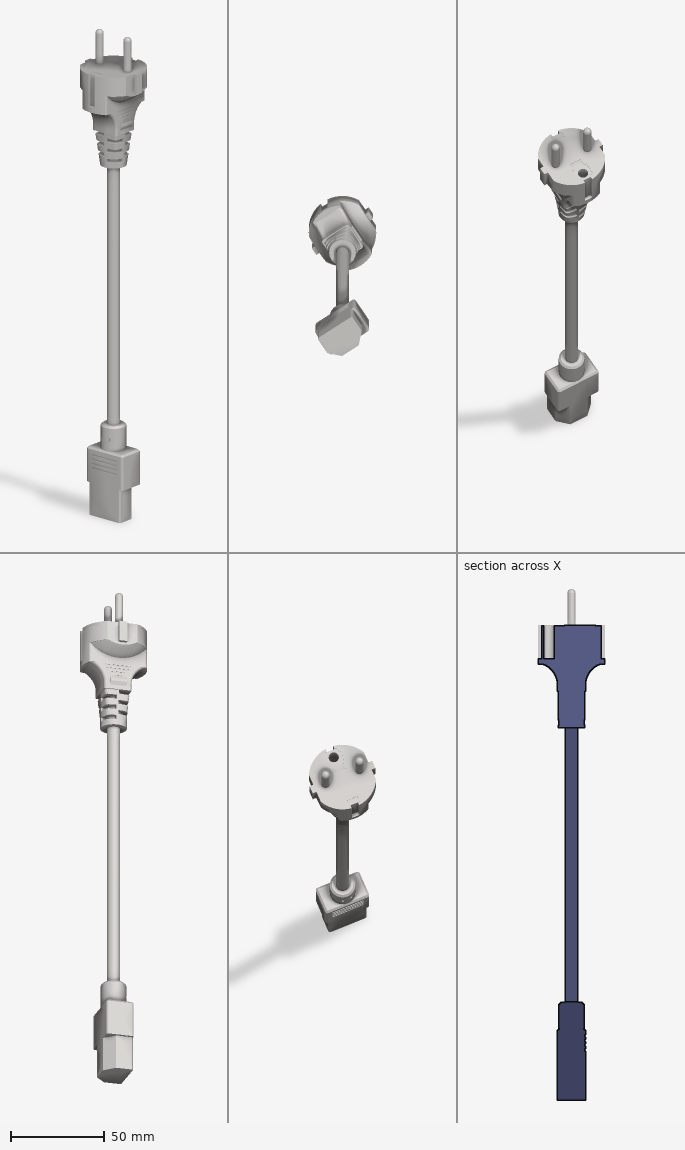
import cadquery as cq
import math

TOTAL_HEIGHT = 273.8
PIN_LENGTH = 19.2
FACE_Z = TOTAL_HEIGHT - PIN_LENGTH
HEAD_BOTTOM_Z = 244.0
EAR_BOTTOM_Z = 243.5
SHOULDER_Z = 233.3
SWEEP_BOTTOM_Z = 222.5
GRIP_BOTTOM_Z = 219.0
RELIEF_BOTTOM_Z = 199.3
SLEEVE_TOP_Z = 52.5
SHELL_TOP_Z = 38.5
NOSE_TOP_Z = 18.5

HEAD_RADIUS = 18.0
HEAD_WIDTH = 32.0
EAR_SPAN = 36.5
EAR_WIDTH = 4.5
DOME_RADIUS = 17.8
DOME_DEPTH = 8.5

PIN_SPACING = 19.7
PIN_RADIUS = 2.2

RIM_SLOT_BOTTOM_Z = 236.5
RIM_SLOT_WIDTH = 4.5
RIM_SLOT_DEPTH = 2.0
RECESS_DEPTH = 0.3
RECESS_WIDTH = 6.5
FRONT_RECESS_LENGTH = 3.3
REAR_RECESS_LENGTH = 12.3
WING_WIDTH = 9.0
WING_LENGTH = 6.8
WING_Y = 11.2
EARTH_BORE_RADIUS = 2.7
EARTH_BORE_Y = 12.0

GRIP_WIDTH = 17.2
GRIP_NECK_DEPTH = 15.3
GRIP_SWEEP = 11.5
GRIP_FILLET = 1.5
PAD_WIDTH = 9.3
PAD_TOP_Z = 225.0
PAD_EDGE_Z = 223.5
PAD_BOTTOM_Z = 221.5
PAD_PROUD = 0.8
GRIP_GROOVE_WIDTHS = (14.2, 13.1, 7.7, 4.5)
GRIP_GROOVE_TOP_Z = 232.5
GRIP_GROOVE_PITCH = 2.0
GRIP_GROOVE_HEIGHT = 0.8
GRIP_GROOVE_DEPTH = 0.3

RELIEF_TOP_WIDTH = 16.0
RELIEF_DEPTH = 14.2
RELIEF_TOP_CORNER = 1.6
RELIEF_CORE_RADIUS = 5.0
RELIEF_RIB = 1.0
RELIEF_SLOT_HEIGHT = 2.2
RELIEF_SLOT_PITCH = 5.7
RELIEF_SLOT_COUNT = 3
RELIEF_FIRST_SLOT_Z = 218.0
RELIEF_STAGGER = RELIEF_SLOT_PITCH / 2

CABLE_RADIUS = 3.5

SLEEVE_RADIUS = 6.8
SLEEVE_CHAMFER = 1.0
SHELL_WIDTH = 25.5
SHELL_DEPTH = 15.3
SHELL_FILLET = 1.5
SHELL_TOP_CHAMFER = 1.0
NOSE_WIDTH = 22.2
NOSE_FILLET = 1.0
NOSE_BEVEL = 5.7
GROOVE_COUNT = 4
GROOVE_LENGTH = 18.0
GROOVE_HEIGHT = 1.0
GROOVE_PITCH = 2.5
GROOVE_TOP_Z = 34.5
GROOVE_DEPTH = 0.5
WINDOW_SPACING = 5.0
WINDOW_WIDTH = 1.0
WINDOW_HEIGHT = 2.0
WINDOW_Z = 45.0
WINDOW_DEPTH = 1.0


def block(width, depth, bottom, top):
    """Box centred on the cord axis between two heights."""
    return (
        cq.Workplane("XY").workplane(offset=bottom)
        .rect(width, depth).extrude(top - bottom)
    )


def cylinder(radius, bottom, top):
    """Cylinder on the cord axis between two heights."""
    return cq.Workplane("XY").workplane(offset=bottom).circle(radius).extrude(top - bottom)


def make_head():
    disc = cylinder(HEAD_RADIUS, HEAD_BOTTOM_Z, FACE_Z)
    disc = disc.intersect(block(HEAD_WIDTH, 2 * HEAD_RADIUS, HEAD_BOTTOM_Z, FACE_Z))
    ears = block(EAR_SPAN, EAR_WIDTH, EAR_BOTTOM_Z, FACE_Z)
    return disc.union(ears).union(make_dome())


def make_dome():
    """Shallow spherical underside of the head, trimmed by the flats."""
    sphere_radius = (DOME_RADIUS**2 + DOME_DEPTH**2) / (2 * DOME_DEPTH)
    centre_z = HEAD_BOTTOM_Z - DOME_DEPTH + sphere_radius
    sphere = cq.Workplane("XY").sphere(sphere_radius).translate((0, 0, centre_z))
    dome_bottom = HEAD_BOTTOM_Z - DOME_DEPTH
    return sphere.intersect(block(HEAD_WIDTH, 2 * HEAD_RADIUS, dome_bottom, HEAD_BOTTOM_Z))


def make_shoulder():
    """Upper grip, a slab as deep as the round head."""
    shoulder = block(GRIP_WIDTH, 2 * HEAD_RADIUS, SHOULDER_Z, HEAD_BOTTOM_Z)
    shoulder = shoulder.intersect(cylinder(HEAD_RADIUS, SHOULDER_Z, HEAD_BOTTOM_Z))
    return shoulder.edges("|Z").fillet(GRIP_FILLET)


def make_neck():
    """Lower grip, hollowed on both Y sides from the shoulder down to the strain relief."""
    neck_y = GRIP_NECK_DEPTH / 2
    centre_y = neck_y + GRIP_SWEEP
    end_angle = math.asin((SHOULDER_Z - SWEEP_BOTTOM_Z) / GRIP_SWEEP)

    def sweep_point(angle):
        return (
            centre_y - GRIP_SWEEP * math.cos(angle),
            SWEEP_BOTTOM_Z + GRIP_SWEEP * math.sin(angle),
        )

    half_profile = (
        cq.Workplane("YZ")
        .moveTo(0, GRIP_BOTTOM_Z)
        .lineTo(neck_y, GRIP_BOTTOM_Z)
        .lineTo(neck_y, SWEEP_BOTTOM_Z)
        .threePointArc(sweep_point(end_angle / 2), sweep_point(end_angle))
        .lineTo(0, SHOULDER_Z)
    )
    neck = half_profile.mirrorY().extrude(GRIP_WIDTH / 2, both=True)
    return neck.edges("not(|X or |Y)").fillet(GRIP_FILLET)


def make_pads():
    """Raised thumb pads on the two X sides, sloping back at the bottom."""
    face_x = GRIP_WIDTH / 2
    pad_x = face_x + PAD_PROUD
    return (
        cq.Workplane("XZ")
        .polyline([
            (-face_x, PAD_BOTTOM_Z),
            (face_x, PAD_BOTTOM_Z),
            (pad_x, PAD_EDGE_Z),
            (pad_x, PAD_TOP_Z),
            (-pad_x, PAD_TOP_Z),
            (-pad_x, PAD_EDGE_Z),
        ])
        .close()
        .extrude(PAD_WIDTH / 2, both=True)
    )


def make_grip_grooves():
    """Finger grooves on the two X sides, getting shorter toward the pads."""
    grooves = cq.Workplane("XY")
    for index, width in enumerate(GRIP_GROOVE_WIDTHS):
        groove_z = GRIP_GROOVE_TOP_Z - index * GRIP_GROOVE_PITCH
        for side in (-1, 1):
            groove = cq.Workplane("XY").box(2 * GRIP_GROOVE_DEPTH, width, GRIP_GROOVE_HEIGHT)
            grooves = grooves.add(groove.translate((side * GRIP_WIDTH / 2, 0, groove_z)))
    return grooves.combine()


def relief_slot(x_side, y_side, z):
    """Slot in one quadrant of the strain relief, leaving its round core."""
    size = RELIEF_TOP_WIDTH
    offset = (size + RELIEF_RIB) / 2
    quadrant = block(size, size, z - RELIEF_SLOT_HEIGHT / 2, z + RELIEF_SLOT_HEIGHT / 2)
    quadrant = quadrant.translate((x_side * offset, y_side * offset, 0))
    return quadrant.cut(cylinder(RELIEF_CORE_RADIUS, RELIEF_BOTTOM_Z, GRIP_BOTTOM_Z))


def make_relief():
    """Strain relief narrowing to a circle, with slots staggered between quadrants."""
    height = GRIP_BOTTOM_Z - RELIEF_BOTTOM_Z
    top = cq.Sketch().rect(RELIEF_TOP_WIDTH, RELIEF_DEPTH).vertices().fillet(RELIEF_TOP_CORNER)
    bottom = cq.Sketch().circle(RELIEF_DEPTH / 2)
    relief = (
        cq.Workplane("XY").workplane(offset=RELIEF_BOTTOM_Z)
        .placeSketch(bottom, top.moved(cq.Location(cq.Vector(0, 0, height))))
        .loft()
    )
    for index in range(RELIEF_SLOT_COUNT):
        slot_z = RELIEF_FIRST_SLOT_Z - index * RELIEF_SLOT_PITCH
        for side in (-1, 1):
            relief = relief.cut(relief_slot(side, side, slot_z))
            relief = relief.cut(relief_slot(side, -side, slot_z - RELIEF_STAGGER))
    return relief


def rim_slot(side):
    """Slot in the rim at the +Y or -Y end of the head."""
    slot = block(RIM_SLOT_WIDTH, 2 * RIM_SLOT_DEPTH, RIM_SLOT_BOTTOM_Z, FACE_Z)
    return slot.translate((0, side * HEAD_RADIUS, 0))


def face_recess(side, length):
    """Shallow recess in the contact face, running inward from a rim slot."""
    centre_y = side * (HEAD_RADIUS - RIM_SLOT_DEPTH - length / 2)
    return block(RECESS_WIDTH, length, FACE_Z - RECESS_DEPTH, FACE_Z).translate((0, centre_y, 0))


def cut_earth_contacts(plug):
    plug = plug.cut(rim_slot(-1)).cut(face_recess(-1, FRONT_RECESS_LENGTH))
    plug = plug.cut(rim_slot(1)).cut(face_recess(1, REAR_RECESS_LENGTH))
    wings = block(WING_WIDTH, WING_LENGTH, FACE_Z - RECESS_DEPTH, FACE_Z)
    bore = cylinder(EARTH_BORE_RADIUS, RIM_SLOT_BOTTOM_Z, FACE_Z)
    plug = plug.cut(wings.translate((0, WING_Y, 0)))
    return plug.cut(bore.translate((0, EARTH_BORE_Y, 0)))


def make_pin():
    """Contact pin with a hemispherical tip."""
    tip_z = TOTAL_HEIGHT - PIN_RADIUS
    tip = cq.Workplane("XY").sphere(PIN_RADIUS).translate((0, 0, tip_z))
    return cylinder(PIN_RADIUS, FACE_Z, tip_z).union(tip)


def make_plug():
    plug = make_head().union(make_shoulder()).union(make_neck()).union(make_pads())
    plug = plug.cut(make_grip_grooves()).union(make_relief())
    plug = cut_earth_contacts(plug)
    for side in (-1, 1):
        plug = plug.union(make_pin().translate((side * PIN_SPACING / 2, 0, 0)))
    return plug


def make_cable():
    return cylinder(CABLE_RADIUS, SLEEVE_TOP_Z, RELIEF_BOTTOM_Z)


def make_nose():
    """Plugging end with the two +Y corners bevelled."""
    nose = block(NOSE_WIDTH, SHELL_DEPTH, 0, NOSE_TOP_Z)
    return nose.edges("|Z and >Y").chamfer(NOSE_BEVEL).edges("|Z and <Y").fillet(NOSE_FILLET)


def make_connector():
    shell = block(SHELL_WIDTH, SHELL_DEPTH, NOSE_TOP_Z, SHELL_TOP_Z)
    shell = shell.edges("|Z").fillet(SHELL_FILLET)
    shell = shell.faces(">Z").edges().chamfer(SHELL_TOP_CHAMFER)
    sleeve = cylinder(SLEEVE_RADIUS, SHELL_TOP_Z, SLEEVE_TOP_Z)
    sleeve = sleeve.faces(">Z").edges().chamfer(SLEEVE_CHAMFER)
    connector = shell.union(make_nose()).union(sleeve)

    for index in range(GROOVE_COUNT):
        groove_z = GROOVE_TOP_Z - index * GROOVE_PITCH
        groove = cq.Workplane("XY").box(GROOVE_LENGTH, 2 * GROOVE_DEPTH, GROOVE_HEIGHT)
        connector = connector.cut(groove.translate((0, -SHELL_DEPTH / 2, groove_z)))

    for side in (-1, 1):
        window = cq.Workplane("XY").box(WINDOW_WIDTH, 2 * WINDOW_DEPTH, WINDOW_HEIGHT)
        connector = connector.cut(window.translate((side * WINDOW_SPACING / 2, -SLEEVE_RADIUS, WINDOW_Z)))
    return connector


plug = make_plug()
cable = make_cable()
connector = make_connector()
result = cq.Compound.makeCompound([plug.val(), cable.val(), connector.val()])